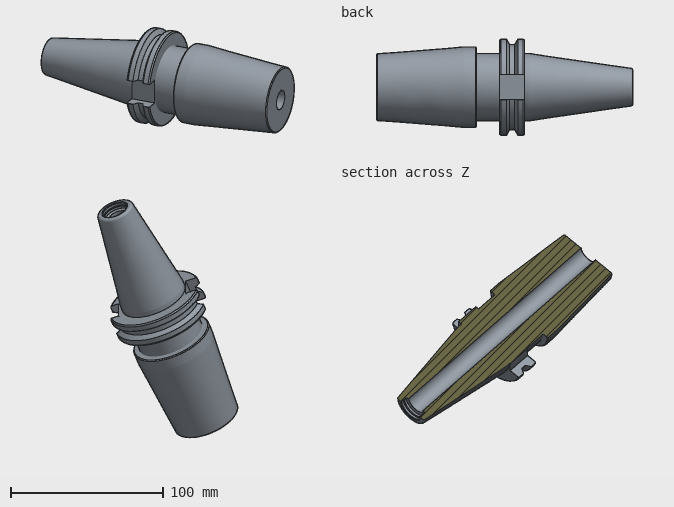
import cadquery as cq

LENGTH = 168.2

SHANK_TIP_RADIUS = 12.3
SHANK_TIP_FILLET = 1.9
SHANK_TAPER_END = 68.0
BODY_RADIUS = 22.2
NECK_FILLET = 0.25

FLANGE_START = 71.0
FLANGE_END = 87.5
FLANGE_RADIUS = 31.6
FLANGE_CHAMFER = 1.0
FLANGE_CHAMFER_DEPTH = 0.7
GROOVE_FLOOR_RADIUS = 28.1
GROOVE_CENTER = 79.2
GROOVE_FLOOR_WIDTH = 3.4
GROOVE_MOUTH_WIDTH = 7.4

SLOT_WIDTH = 16.3
SLOT_EDGE = 0.2
FRONT_SLOT_FLOOR = 22.5
BACK_SLOT_FLOOR = 24.7

NOSE_START = 102.6
NOSE_TAPER_START = 111.0
NOSE_RADIUS = 53.0 / 2
NOSE_TIP_RADIUS = 22.0
NOSE_EDGE = 0.7

BORE_RADIUS = 13.0 / 2
MOUTH_RADIUS = 18.0 / 2
MOUTH_CHAMFER = 0.5
COUNTERBORE_RADIUS = 16.8 / 2
COUNTERBORE_DEPTH = 2.2
PILOT_RADIUS = 16.3 / 2
PILOT_START = 2.9
PILOT_END = 4.5
BORE_START = 5.4


def turned(points):
    """Revolve a closed (x, radius) outline about the X axis."""
    return cq.Workplane("XY").polyline(points).close().revolve(360, (0, 0, 0), (1, 0, 0))


def make_shank():
    shank = turned([
        (0, 0),
        (0, SHANK_TIP_RADIUS),
        (SHANK_TAPER_END, BODY_RADIUS),
        (NOSE_START, BODY_RADIUS),
        (NOSE_START, 0),
    ])
    return shank.faces("<X").edges().fillet(SHANK_TIP_FILLET)


def make_flange():
    half_floor = GROOVE_FLOOR_WIDTH / 2
    half_mouth = GROOVE_MOUTH_WIDTH / 2
    rim_radius = FLANGE_RADIUS - FLANGE_CHAMFER_DEPTH
    return turned([
        (FLANGE_START, 0),
        (FLANGE_START, rim_radius),
        (FLANGE_START + FLANGE_CHAMFER, FLANGE_RADIUS),
        (GROOVE_CENTER - half_mouth, FLANGE_RADIUS),
        (GROOVE_CENTER - half_floor, GROOVE_FLOOR_RADIUS),
        (GROOVE_CENTER + half_floor, GROOVE_FLOOR_RADIUS),
        (GROOVE_CENTER + half_mouth, FLANGE_RADIUS),
        (FLANGE_END - FLANGE_CHAMFER, FLANGE_RADIUS),
        (FLANGE_END, rim_radius),
        (FLANGE_END, 0),
    ])


def make_slot(floor, side):
    """Block that cuts the flange from the slot floor outward; side is +1 or -1 along Y."""
    depth = FLANGE_RADIUS - floor
    center = ((FLANGE_START + FLANGE_END) / 2, side * (floor + depth / 2), 0)
    return cq.Workplane("XY").box(FLANGE_END - FLANGE_START, depth, SLOT_WIDTH).translate(center)


def make_nose():
    return turned([
        (NOSE_START, 0),
        (NOSE_START, NOSE_RADIUS - NOSE_EDGE),
        (NOSE_START + NOSE_EDGE, NOSE_RADIUS),
        (NOSE_TAPER_START, NOSE_RADIUS),
        (LENGTH - NOSE_EDGE, NOSE_TIP_RADIUS),
        (LENGTH, NOSE_TIP_RADIUS - NOSE_EDGE),
        (LENGTH, 0),
    ])


def make_bore():
    return turned([
        (0, 0),
        (0, MOUTH_RADIUS),
        (MOUTH_CHAMFER, COUNTERBORE_RADIUS),
        (COUNTERBORE_DEPTH, COUNTERBORE_RADIUS),
        (PILOT_START, PILOT_RADIUS),
        (PILOT_END, PILOT_RADIUS),
        (BORE_START, BORE_RADIUS),
        (LENGTH, BORE_RADIUS),
        (LENGTH, 0),
    ])


flange = make_flange().cut(make_slot(FRONT_SLOT_FLOOR, -1)).cut(make_slot(BACK_SLOT_FLOOR, 1))

for side in (-1, 1):
    rim_zone = cq.selectors.BoxSelector(
        (FLANGE_START, side * GROOVE_FLOOR_RADIUS, -SLOT_WIDTH),
        (FLANGE_END, side * FLANGE_RADIUS, SLOT_WIDTH),
    )
    flange = flange.edges("|X").edges(rim_zone).chamfer(SLOT_EDGE)

body = make_shank().union(flange).union(make_nose())

for corner_x in (FLANGE_END, NOSE_START):
    corner = cq.selectors.BoxSelector(
        (corner_x - NECK_FILLET, -BODY_RADIUS - NECK_FILLET, -BODY_RADIUS - NECK_FILLET),
        (corner_x + NECK_FILLET, BODY_RADIUS + NECK_FILLET, BODY_RADIUS + NECK_FILLET),
        boundingbox=True,
    )
    body = body.edges("%CIRCLE").edges(corner).fillet(NECK_FILLET)

result = body.cut(make_bore())